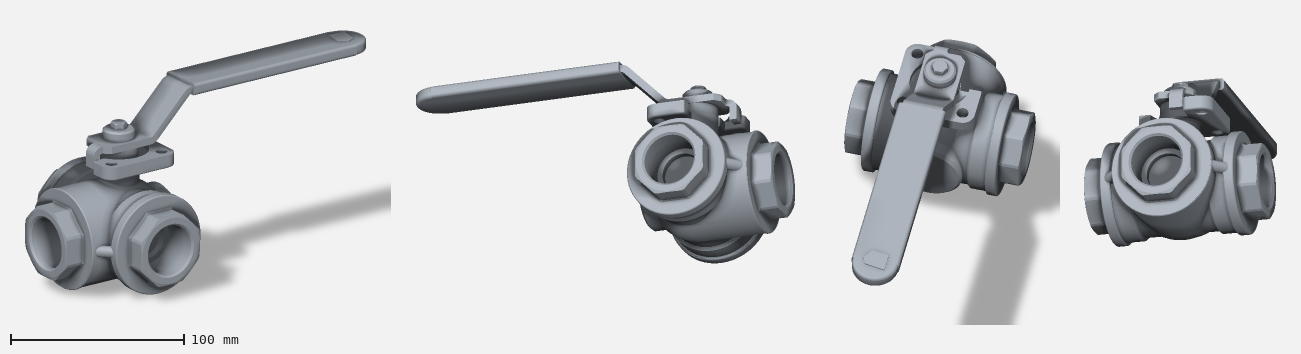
import cadquery as cq
import math


port_reach = 52.0
nut_flats = 41.5
nut_corner_diameter = 44.0
nut_end_chamfer = 0.7
nut_base_flare = 0.78
flange_diameter = 60.0
flange_face = 39.9
flange_back = 33.5
flange_round = 1.0
collar_diameter = 56.5
collar_end = 22.2
collar_chamfer = 1.5
bore_diameter = 30.2
bore_depth = 23.5
bore_chamfer = 1.23
ball_port_diameter = 24.0
ball_port_depth = 4.5

body_diameter = 52.8
front_barrel_diameter = 59.0
front_rim_width = 1.3
plug_diameter = 40.0
plug_reach = 30.5
plug_chamfer = 1.8
lug_diameter = 6.7
lug_offset = 31.1
lug_length = 18.0

neck_diameter = 24.0
neck_top = 43.9
neck_round = 1.5
stem_diameter = 23.0
washer_diameter = 18.5
washer_top = 60.2
washer_chamfer = 1.1
stem_hex_corners = 9.6
stem_hex_chamfer = 0.7
stem_top = 63.8

plate_half = 24.9
plate_bottom = 39.0
plate_top = 47.0
plate_hole_diameter = 7.0
plate_hole_offset = 17.7
plate_bottom_round = 1.1
plate_stop_round = 2.7
plate_back_stop_round = 1.0
plate_neck_flare = 1.1
plate_recess_diameter = 35.2
stop_edge = 8.0
stop_ledge = 13.2

strip_width = 23.5
strip_thickness = 4.3
strip_bottom = 50.2
strip_front = 16.8
strip_corner = 3.5
ramp_start = 15.5
ramp_angle = 45.0
raised_top = 79.7
bend_inner_round = 3.8
tab_width = 8.0
tab_reach = 23.3
tab_bottom = 41.6
tab_inner_round = 1.3
tab_side_round = 1.5
grip_start = 43.9
handle_end = 172.0
grip_width = 28.0
grip_tip_radius = 13.5
grip_bottom = 74.3
grip_top = 81.5
grip_round = 1.8
badge_height = 0.7
badge_outline = [(-6.7, 164.1), (5.4, 162.0), (7.2, 157.8), (3.4, 152.0), (-6.7, 153.1)]


def cylinder_z(diameter, bottom, top):
    """Cylinder on the Z axis between two heights."""
    return cq.Workplane("XY").workplane(offset=bottom).circle(diameter / 2).extrude(top - bottom)


def edge_near(shape, x, y, z):
    """Select the edge whose centre is nearest to a point."""
    return shape.edges(cq.selectors.NearestToPointSelector((x, y, z)))


def port_nut():
    """Octagonal nut pointing up Z, flared at the flange and turned at the corners."""
    half_side_angle = 180 / 8
    octagon_corners = nut_flats / math.cos(math.radians(half_side_angle))
    nut = (
        cq.Workplane("XY").workplane(offset=flange_face)
        .polygon(8, octagon_corners).extrude(port_reach - flange_face)
        .rotate((0, 0, 0), (0, 0, 1), half_side_angle)
    )
    turned = cylinder_z(nut_corner_diameter, flange_face, port_reach)
    end_cut = (nut_corner_diameter - nut_flats) / 2 + nut_end_chamfer
    turned = turned.faces(">Z").chamfer(nut_end_chamfer, end_cut)
    flare = (
        cq.Workplane("XY").workplane(offset=flange_face)
        .polygon(8, octagon_corners + 2 * nut_base_flare)
        .workplane(offset=nut_base_flare).polygon(8, octagon_corners)
        .loft(ruled=True)
        .rotate((0, 0, 0), (0, 0, 1), half_side_angle)
    )
    return nut.intersect(turned).union(flare)


def side_port():
    """Flange, collar and nut of one side port, pointing up Z."""
    flange = cylinder_z(flange_diameter, flange_back, flange_face).edges().fillet(flange_round)
    collar = cylinder_z(collar_diameter, collar_end, flange_back + flange_round)
    collar = collar.faces("<Z").chamfer(collar_chamfer)
    return flange.union(collar).union(port_nut())


def front_port():
    """Plain barrel with a rounded rim and a nut, pointing up Z."""
    barrel = cylinder_z(front_barrel_diameter, 0, flange_face)
    rim = cylinder_z(flange_diameter, flange_face - front_rim_width, flange_face)
    return barrel.union(rim.faces(">Z").edges().fillet(flange_round)).union(port_nut())


def port_cavity():
    """Chamfered bore and ball port, pointing up Z."""
    bore_bottom = port_reach - bore_depth
    bore = cylinder_z(bore_diameter, bore_bottom, port_reach)
    mouth = (
        cq.Workplane("XY").workplane(offset=port_reach - bore_chamfer).circle(bore_diameter / 2)
        .workplane(offset=bore_chamfer).circle(bore_diameter / 2 + bore_chamfer)
        .loft()
    )
    ball_port = cylinder_z(ball_port_diameter, bore_bottom - ball_port_depth, bore_bottom)
    return bore.union(mouth).union(ball_port)


def to_side(shape, side):
    """Turn a shape from +Z to +X (side = 1) or -X (side = -1)."""
    return shape.rotate((0, 0, 0), (0, 1, 0), 90 * side)


def to_front(shape):
    """Turn a shape from +Z to -Y."""
    return shape.rotate((0, 0, 0), (1, 0, 0), 90)


def to_back(shape):
    """Turn a shape from +Z to +Y."""
    return shape.rotate((0, 0, 0), (1, 0, 0), -90)


def corner_lug(side):
    """Horizontal lug bridging the corner between a side port and the front port."""
    lug = cq.Workplane("YZ").circle(lug_diameter / 2).extrude(lug_length / 2, both=True)
    lug = lug.rotate((0, 0, 0), (0, 0, 1), 45 * side)
    return lug.translate((side * lug_offset, -lug_offset, 0))


def body():
    """Ports, barrel, closing plug, lugs and neck."""
    shape = to_side(cylinder_z(body_diameter, -flange_back, flange_back), 1)
    shape = shape.union(cq.Workplane("XY").sphere(front_barrel_diameter / 2))
    shape = shape.union(to_front(front_port()))
    plug = cylinder_z(plug_diameter, 0, plug_reach).faces(">Z").chamfer(plug_chamfer)
    shape = shape.union(to_back(plug))
    for side in (1, -1):
        shape = shape.union(to_side(side_port(), side)).union(corner_lug(side))
    neck_root = front_barrel_diameter / 4
    shape = shape.union(cylinder_z(neck_diameter, neck_root, neck_top))
    foot_width = neck_diameter / 4
    neck_foot = cq.selectors.BoxSelector(
        (-foot_width, -neck_diameter / 2, neck_root),
        (foot_width, neck_diameter / 2, plate_bottom))
    shape = shape.edges(neck_foot).fillet(neck_round)
    for cavity in (to_front(port_cavity()), to_side(port_cavity(), 1), to_side(port_cavity(), -1)):
        shape = shape.cut(cavity)
    return shape


def stem():
    """Stem, washer and hexagonal stem end."""
    strip_top = strip_bottom + strip_thickness
    washer = cylinder_z(washer_diameter, strip_top, washer_top).faces(">Z").chamfer(washer_chamfer)
    turned = cylinder_z(stem_hex_corners, strip_bottom, stem_top).faces(">Z").chamfer(stem_hex_chamfer)
    hexagon = (
        cq.Workplane("XY").workplane(offset=strip_bottom)
        .polygon(6, stem_hex_corners).extrude(stem_top - strip_bottom).intersect(turned)
    )
    return cylinder_z(stem_diameter, neck_top, strip_bottom).union(washer).union(hexagon)


def plate_outline(bottom, height):
    """Three quarters of a square, with the quarter between the stop edges left open."""
    return (
        cq.Workplane("XY").workplane(offset=bottom)
        .moveTo(-plate_half, 0).lineTo(-plate_half, plate_half).lineTo(plate_half, plate_half)
        .lineTo(plate_half, -plate_half).lineTo(stop_edge, -plate_half).lineTo(stop_edge, -stop_ledge)
        .lineTo(0, -stop_ledge).lineTo(0, 0).close().extrude(height)
    )


def mounting_plate():
    """Plate with rounded corners, three screw holes and a recess around the stem."""
    thickness = plate_top - plate_bottom
    mid_height = plate_bottom + thickness / 2
    plate = plate_outline(plate_bottom, thickness)
    corner_round = plate_half - plate_hole_offset
    rounded_corners = [
        (-plate_half, plate_half, corner_round),
        (plate_half, plate_half, corner_round),
        (plate_half, -plate_half, corner_round),
        (stop_edge, -plate_half, plate_stop_round),
        (-plate_half, 0, plate_back_stop_round),
    ]
    for x, y, radius in rounded_corners:
        plate = edge_near(plate, x, y, mid_height).fillet(radius)
    plate = plate.faces("<Z").edges().fillet(plate_bottom_round)

    holes = [(-plate_hole_offset, plate_hole_offset), (plate_hole_offset, plate_hole_offset),
             (plate_hole_offset, -plate_hole_offset)]
    drills = (
        cq.Workplane("XY").workplane(offset=plate_bottom)
        .pushPoints(holes).circle(plate_hole_diameter / 2).extrude(thickness)
    )
    flare_bottom = plate_bottom - plate_neck_flare
    flare_top = plate_bottom + plate_bottom_round
    flare = cylinder_z(neck_diameter + 2 * plate_neck_flare, flare_bottom, flare_top)
    flare = flare.faces("<Z").chamfer(plate_neck_flare)
    flare = flare.intersect(plate_outline(flare_bottom, flare_top - flare_bottom))
    return plate.cut(drills).union(flare).cut(cylinder_z(plate_recess_diameter, neck_top, plate_top))


def handle_strip():
    """Bent strip: flat around the stem, a ramp, and a raised end inside the grip."""
    strip_top = strip_bottom + strip_thickness
    slope = math.tan(math.radians(ramp_angle))
    ramp_run = (raised_top - strip_top) / slope
    bend_shift = strip_thickness * math.tan(math.radians(ramp_angle / 2))
    strip_end = handle_end - grip_tip_radius
    strip = (
        cq.Workplane("YZ")
        .moveTo(-strip_front, strip_bottom)
        .lineTo(ramp_start + bend_shift, strip_bottom)
        .lineTo(ramp_start + bend_shift + ramp_run, raised_top - strip_thickness)
        .lineTo(strip_end, raised_top - strip_thickness)
        .lineTo(strip_end, raised_top)
        .lineTo(ramp_start + ramp_run, raised_top)
        .lineTo(ramp_start, strip_top)
        .lineTo(-strip_front, strip_top)
        .close().extrude(strip_width / 2, both=True)
    )
    bend_outer_round = bend_inner_round + strip_thickness
    bends = [
        (ramp_start, strip_top, bend_inner_round),
        (ramp_start + bend_shift, strip_bottom, bend_outer_round),
        (ramp_start + ramp_run, raised_top, bend_outer_round),
        (ramp_start + bend_shift + ramp_run, raised_top - strip_thickness, bend_inner_round),
    ]
    for y, z, radius in bends:
        strip = edge_near(strip, 0, y, z).fillet(radius)
    strip = strip.faces("<Y").edges("|Z").chamfer(strip_corner)

    tab_overlap = 2 * strip_thickness
    tab = (
        cq.Workplane("YZ")
        .moveTo(-tab_reach + tab_overlap, strip_top).lineTo(-tab_reach, strip_top)
        .lineTo(-tab_reach, tab_bottom).lineTo(-tab_reach + strip_thickness, tab_bottom)
        .lineTo(-tab_reach + strip_thickness, strip_bottom)
        .lineTo(-tab_reach + tab_overlap, strip_bottom)
        .close().extrude(tab_width)
    )
    tab = edge_near(tab, tab_width / 2, -tab_reach, strip_top).fillet(tab_inner_round + strip_thickness)
    tab_back = -tab_reach + strip_thickness
    tab = edge_near(tab, tab_width / 2, tab_back, strip_bottom).fillet(tab_inner_round)
    strip = strip.union(tab)
    return edge_near(strip, 0, -strip_front, strip_bottom + strip_thickness / 2).fillet(tab_side_round)


def handle_grip():
    """Sleeve with rounded long edges, a half-round tip and a raised badge."""
    tip_centre = handle_end - grip_tip_radius
    height = grip_top - grip_bottom
    sleeve_length = tip_centre - grip_start
    sleeve = (
        cq.Workplane("XY").box(grip_width, sleeve_length, height, centered=(True, False, False))
        .translate((0, grip_start, grip_bottom)).edges("|Y").fillet(grip_round)
    )
    tip = cylinder_z(2 * grip_tip_radius, grip_bottom, grip_top).faces(">Z or <Z").edges()
    tip = tip.fillet(grip_round).translate((0, tip_centre, 0))
    badge = cq.Workplane("XY").workplane(offset=grip_top).polyline(badge_outline).close()
    return sleeve.union(tip).union(badge.extrude(badge_height))


result = body().union(stem()).union(mounting_plate()).union(handle_strip()).union(handle_grip())